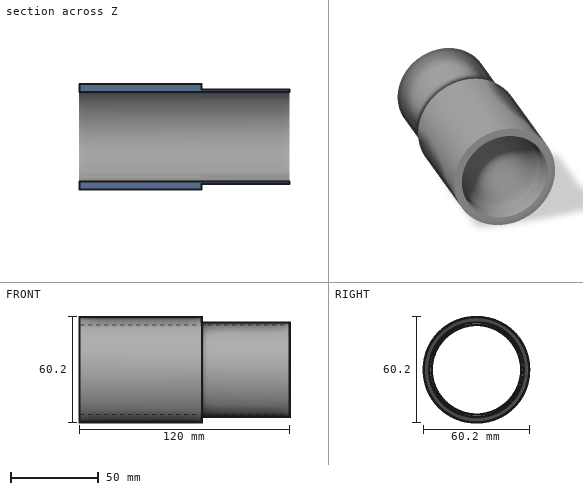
import cadquery as cq

total_length = 120.0
large_length = 70.0
large_diameter = 60.2
small_diameter = 54.0
bore_diameter = 51.0


def cylinder_along_x(diameter, length):
    """Solid cylinder on the X axis, starting at X = 0."""
    return cq.Workplane("YZ").circle(diameter / 2).extrude(length)


large_section = cylinder_along_x(large_diameter, large_length)
full_length_core = cylinder_along_x(small_diameter, total_length)
through_bore = cylinder_along_x(bore_diameter, total_length)

result = large_section.union(full_length_core).cut(through_bore)